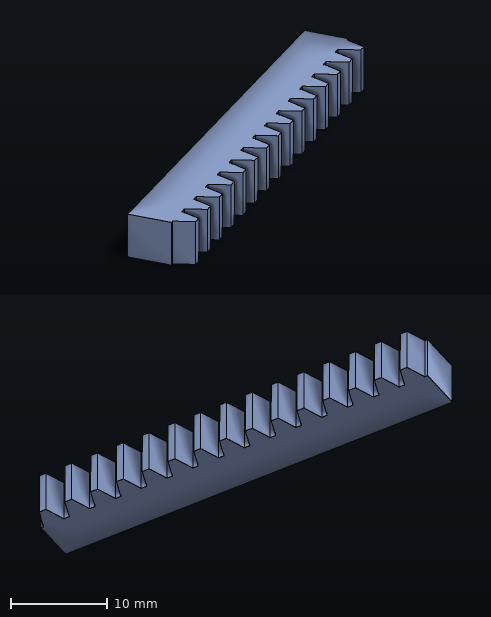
import cadquery as cq
import math

length = 47.1
tooth_count = 15
thickness = 5.0
body_width = 5.0
pressure_angle = math.radians(20)

pitch = length / tooth_count
module = pitch / math.pi
addendum = module
dedendum = 1.25 * module
tip_x = body_width + addendum + dedendum
half_tip = pitch / 4 - addendum * math.tan(pressure_angle)
half_root = pitch / 4 + dedendum * math.tan(pressure_angle)


def tooth_points(center_y):
    """Corners of one straight-sided tooth, in order of increasing Y."""
    return [
        (body_width, center_y - half_root),
        (tip_x, center_y - half_tip),
        (tip_x, center_y + half_tip),
        (body_width, center_y + half_root),
    ]


outline = [(0, 0), (body_width, 0)]
for index in range(tooth_count):
    outline += tooth_points((index + 0.5) * pitch)
outline += [(body_width, length), (0, length)]

result = cq.Workplane("XY").polyline(outline).close().extrude(thickness)